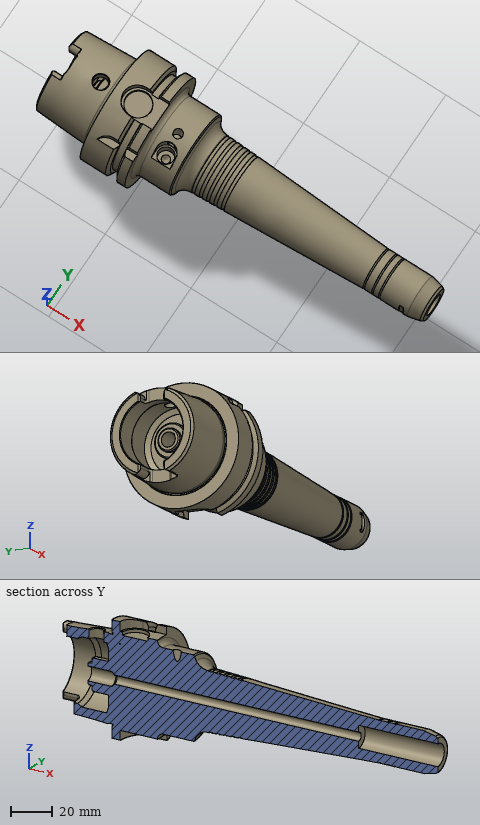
import cadquery as cq
import math


LENGTH = 217.0

TAPER_END_X = 29.5
TAPER_NOSE_R = 22.8
TAPER_RATIO = 0.05
TAPER_END_R = TAPER_NOSE_R + TAPER_RATIO * TAPER_END_X
SHANK_CHAMFER_X = 0.9
SHANK_CHAMFER_R = 1.3
UNDERCUT_X = 31.2
UNDERCUT_R = 23.9
RELIEF_R = 25.0
RELIEF_DEPTH = 0.5

FLANGE_X = 32.0
FLANGE_WIDTH = 26.0
FLANGE_END_X = FLANGE_X + FLANGE_WIDTH
FLANGE_R = 31.5
GROOVE_MID_X = 50.0
GROOVE_FLOOR_R = 27.3
GROOVE_FLOOR_WIDTH = 4.0
GROOVE_BEVEL_X = 1.3
GROOVE_BEVEL_R = 2.2

COLLAR_R = 23.0
COLLAR_FILLET = 3.0
COLLAR_END_X = 79.0
COLLAR_EDGE = 0.7
NECK_ARC_X = 79.9
NECK_ARC_R = 20.2
NECK_X = 86.5
NECK_R = 16.5

CONE_X = 105.0
CONE_R = 15.6
NOSE_X = 183.4
NOSE_R = 11.5
TIP_X = 209.2
TIP_EDGE_X = 215.7
TIP_EDGE_R = 10.0
TIP_FACE_R = 9.1

RIB_COUNT = 5
RIB_FIRST_X = 87.0
RIB_PITCH = 4.1
RIB_GROOVE_WIDTH = 1.7
RIB_GROOVE_DEPTH = 0.25
MARK_STARTS = (183.4, 188.4, 192.3)
MARK_WIDTH = 0.9
MARK_DEPTH = 0.2

BORE_R = 34.0 / 2
BORE_MOUTH_CHAMFER = 0.5
BORE_SHOULDER_X = 12.5
CAVITY_R = 18.5
CAVITY_TAPER_ANGLE = 30.0
CAVITY_TAPER_X = (CAVITY_R - BORE_R) / math.tan(math.radians(CAVITY_TAPER_ANGLE))
CAVITY_FLOOR_X = 30.0
CAVITY_FLOOR_R = 15.5
CAVITY_FLOOR_SLOPE_X = 1.0
NUT_R = 18.0 / 2
NUT_FACE_X = 20.6
NUT_CHAMFER = 0.7
TUBE_R = 12.0 / 2
TUBE_FACE_X = 18.2
TUBE_CHAMFER = 0.7
TUBE_BORE_R = 7.5 / 2
COOLANT_R = 4.5 / 2
TOOL_BORE_R = 12.0 / 2
TOOL_BORE_DEPTH = 45.0

KEY_HALF_WIDTH = 6.3
KEY_FLARE_R = 3.0
KEY_FLARE_Z = 17.5
KEY_CORNER_R = 1.7
KEY_MOUTH_CHAMFER = 0.9
KEY_FLARE_STEP = 0.5
KEY_DEPTH_TOP = 6.3
KEY_DEPTH_BOTTOM = 10.5

WALL_HOLE_X = 23.2
WALL_HOLE_D = 8.0
WALL_HOLE_CHAMFER = 0.5

POCKET_START_X = 36.7
POCKET_FLOOR_Z = 26.3
POCKET_TOP_WIDTH = 16.3
POCKET_BOTTOM_WIDTH = 18.0
DISC_D = 14.0
DISC_DEPTH = 1.7
DISC_X = 45.1
NOTCH_Y = -20.5
NOTCH_Z = 20.0
NOTCH_START_X = 44.0
NOTCH_MILL_D = 16.0

SCREW_X = 69.0
SCREW_Y = -12.0
SCREW_POCKET_D = 10.8
SCREW_FLOOR_Z = 15.8
SCREW_HOLE_D = 9.0
SCREW_HOLE_DEPTH = 6.5
SCREW_TIP_D = 4.5
SIDE_HOLE_D = 4.5
SIDE_HOLE_Z = 18.7
SIDE_HOLE_END_Y = -5.5
VENT_Y = -1.0
VENT_D = 5.0
VENT_TILT = 15.0
VENT_DEPTH = 5.5

TIP_RECESS_X = 204.0
TIP_RECESS_WIDTH = 2.2
TIP_RECESS_SLOPE_X = 0.7
TIP_RECESS_FLOOR_Y = -10.5


def revolve_x(profile):
    """Turn a closed (x, radius) profile about the X axis."""
    return profile.close().revolve(360, (0, 0, 0), (1, 0, 0))


def cylinder(diameter, start, direction, length):
    """Solid cylinder from a start point along a direction."""
    return cq.Workplane(cq.Solid.makeCylinder(
        diameter / 2, length, cq.Vector(*start), cq.Vector(*direction)))


def turned_body():
    groove_left = GROOVE_MID_X - GROOVE_FLOOR_WIDTH / 2
    groove_right = GROOVE_MID_X + GROOVE_FLOOR_WIDTH / 2
    bevel_r = FLANGE_R - GROOVE_BEVEL_R
    fillet_mid = COLLAR_FILLET * (1 - math.sqrt(0.5))
    profile = (
        cq.Workplane("XY")
        .moveTo(0, 0)
        .lineTo(0, TAPER_NOSE_R - SHANK_CHAMFER_R)
        .lineTo(SHANK_CHAMFER_X, TAPER_NOSE_R + TAPER_RATIO * SHANK_CHAMFER_X)
        .lineTo(TAPER_END_X, TAPER_END_R)
        .lineTo(UNDERCUT_X, UNDERCUT_R)
        .lineTo(FLANGE_X + RELIEF_DEPTH, UNDERCUT_R)
        .lineTo(FLANGE_X + RELIEF_DEPTH, RELIEF_R - RELIEF_DEPTH)
        .lineTo(FLANGE_X, RELIEF_R)
        .lineTo(FLANGE_X, FLANGE_R)
        .lineTo(groove_left - GROOVE_BEVEL_X, FLANGE_R)
        .lineTo(groove_left, bevel_r)
        .lineTo(groove_left, GROOVE_FLOOR_R)
        .lineTo(groove_right, GROOVE_FLOOR_R)
        .lineTo(groove_right, bevel_r)
        .lineTo(groove_right + GROOVE_BEVEL_X, FLANGE_R)
        .lineTo(FLANGE_END_X, FLANGE_R)
        .lineTo(FLANGE_END_X, COLLAR_R + COLLAR_FILLET)
        .threePointArc(
            (FLANGE_END_X + fillet_mid, COLLAR_R + fillet_mid),
            (FLANGE_END_X + COLLAR_FILLET, COLLAR_R))
        .lineTo(COLLAR_END_X - COLLAR_EDGE, COLLAR_R)
        .lineTo(COLLAR_END_X, COLLAR_R - COLLAR_EDGE)
        .lineTo(NECK_ARC_X, NECK_ARC_R)
    )
    run = NECK_X - NECK_ARC_X
    drop = NECK_ARC_R - NECK_R
    arc_r = (run ** 2 + drop ** 2) / (2 * drop)
    half_angle = math.asin(run / arc_r) / 2
    arc_mid = (
        NECK_X - arc_r * math.sin(half_angle),
        NECK_R + arc_r * (1 - math.cos(half_angle)))
    profile = (
        profile
        .threePointArc(arc_mid, (NECK_X, NECK_R))
        .lineTo(CONE_X, CONE_R)
        .lineTo(NOSE_X, NOSE_R)
        .lineTo(TIP_X, NOSE_R)
        .lineTo(TIP_EDGE_X, TIP_EDGE_R)
        .lineTo(LENGTH, TIP_FACE_R)
        .lineTo(LENGTH, 0)
    )
    return revolve_x(profile)


def ring_groove(x, width, floor_r):
    """Ring cutter that leaves a floor of the given radius."""
    return (
        cq.Workplane("YZ", origin=(x, 0, 0))
        .circle(FLANGE_R).circle(floor_r).extrude(width)
    )


def cut_rings(body):
    for i in range(RIB_COUNT):
        x = RIB_FIRST_X + i * RIB_PITCH
        mid = x + RIB_GROOVE_WIDTH / 2
        surface_r = NECK_R + (CONE_R - NECK_R) * (mid - NECK_X) / (CONE_X - NECK_X)
        body = body.cut(ring_groove(x, RIB_GROOVE_WIDTH, surface_r - RIB_GROOVE_DEPTH))
    for x in MARK_STARTS:
        body = body.cut(ring_groove(x, MARK_WIDTH, NOSE_R - MARK_DEPTH))
    return body


def cavity():
    """Clamping bore around the coolant nut and tube."""
    return revolve_x(
        cq.Workplane("XY")
        .moveTo(0, 0)
        .lineTo(0, BORE_R + BORE_MOUTH_CHAMFER)
        .lineTo(BORE_MOUTH_CHAMFER, BORE_R)
        .lineTo(BORE_SHOULDER_X, BORE_R)
        .lineTo(BORE_SHOULDER_X + CAVITY_TAPER_X, CAVITY_R)
        .lineTo(CAVITY_FLOOR_X - CAVITY_FLOOR_SLOPE_X, CAVITY_R)
        .lineTo(CAVITY_FLOOR_X, CAVITY_FLOOR_R)
        .lineTo(CAVITY_FLOOR_X, NUT_R)
        .lineTo(NUT_FACE_X + NUT_CHAMFER, NUT_R)
        .lineTo(NUT_FACE_X, NUT_R - NUT_CHAMFER)
        .lineTo(NUT_FACE_X, TUBE_R)
        .lineTo(TUBE_FACE_X + TUBE_CHAMFER, TUBE_R)
        .lineTo(TUBE_FACE_X, TUBE_R - TUBE_CHAMFER)
        .lineTo(TUBE_FACE_X, 0)
    )


def centre_passage():
    """Tube bore, coolant channel and tool bore along the axis."""
    tool_x = LENGTH - TOOL_BORE_DEPTH
    return revolve_x(
        cq.Workplane("XY")
        .moveTo(0, 0)
        .lineTo(0, TUBE_BORE_R)
        .lineTo(FLANGE_X, TUBE_BORE_R)
        .lineTo(FLANGE_X + TUBE_BORE_R - COOLANT_R, COOLANT_R)
        .lineTo(tool_x, COOLANT_R)
        .lineTo(tool_x, TOOL_BORE_R)
        .lineTo(LENGTH, TOOL_BORE_R)
        .lineTo(LENGTH, 0)
    )


def drive_slot(depth):
    """Slot on the +Z side whose walls roll outward at the taper surface."""
    flare_y = KEY_HALF_WIDTH + KEY_FLARE_R
    flare_z = KEY_FLARE_Z + KEY_FLARE_R
    mid_y = flare_y - KEY_FLARE_R * math.sqrt(0.5)
    mid_z = KEY_FLARE_Z + KEY_FLARE_R * math.sqrt(0.5)
    mouth_y = KEY_HALF_WIDTH + KEY_MOUTH_CHAMFER
    straight = (
        cq.Workplane("XY")
        .moveTo(0, -mouth_y)
        .lineTo(KEY_MOUTH_CHAMFER, -KEY_HALF_WIDTH)
        .lineTo(depth, -KEY_HALF_WIDTH)
        .lineTo(depth, KEY_HALF_WIDTH)
        .lineTo(KEY_MOUTH_CHAMFER, KEY_HALF_WIDTH)
        .lineTo(0, mouth_y)
        .close()
        .extrude(FLANGE_R)
        .edges(">X and |Z").fillet(KEY_CORNER_R)
    )
    flare = (
        cq.Workplane("YZ")
        .moveTo(-KEY_HALF_WIDTH, KEY_FLARE_Z)
        .threePointArc((-mid_y, mid_z), (-flare_y, flare_z))
        .lineTo(-flare_y, FLANGE_R)
        .lineTo(flare_y, FLANGE_R)
        .lineTo(flare_y, flare_z)
        .threePointArc((mid_y, mid_z), (KEY_HALF_WIDTH, KEY_FLARE_Z))
        .close()
        .extrude(depth - KEY_FLARE_STEP)
    )
    return straight.union(flare)


def opposite(shape):
    """Turn a shape half a turn about the X axis."""
    return shape.rotate((0, 0, 0), (1, 0, 0), 180)


def wall_hole():
    length = FLANGE_R - BORE_R
    hole = cylinder(WALL_HOLE_D, (WALL_HOLE_X, 0, BORE_R), (0, 0, 1), length)
    surface_r = TAPER_NOSE_R + TAPER_RATIO * WALL_HOLE_X
    rim = (
        cq.Workplane("XY", origin=(WALL_HOLE_X, 0, surface_r - 2 * WALL_HOLE_CHAMFER))
        .circle(WALL_HOLE_D / 2)
        .workplane(offset=2 * WALL_HOLE_CHAMFER)
        .circle(WALL_HOLE_D / 2 + WALL_HOLE_CHAMFER)
        .loft()
    )
    return hole.union(rim)


def flange_pocket(width):
    """Round-ended pocket on the +Z side, open toward the tip."""
    centre_x = POCKET_START_X + width / 2
    height = FLANGE_R - POCKET_FLOOR_Z
    run = FLANGE_END_X - centre_x
    end = cylinder(width, (centre_x, 0, POCKET_FLOOR_Z), (0, 0, 1), height)
    channel = cq.Workplane("XY", origin=(centre_x, 0, POCKET_FLOOR_Z)).box(
        run, width, height, centered=(False, True, False))
    return end.union(channel)


def flange_notch():
    """Corner notch with a level floor, run out by an upright end mill."""
    corner = (NOTCH_START_X, NOTCH_Y - NOTCH_MILL_D, NOTCH_Z)
    straight = cq.Workplane("XY", origin=corner).box(
        FLANGE_END_X - NOTCH_START_X, NOTCH_MILL_D, FLANGE_R, centered=False)
    mill_centre = (NOTCH_START_X, NOTCH_Y - NOTCH_MILL_D / 2, NOTCH_Z)
    return straight.union(cylinder(NOTCH_MILL_D, mill_centre, (0, 0, 1), FLANGE_R))


def screw_pocket():
    """Pocket open toward -Y, with a conical-bottomed screw hole and a cross hole in its back wall."""
    up = (0, 0, 1)
    seat = (SCREW_X, SCREW_Y, SCREW_FLOOR_Z)
    cut = cylinder(SCREW_POCKET_D, seat, up, COLLAR_R)
    opening = cq.Workplane("XY", origin=(SCREW_X, SCREW_Y - COLLAR_R / 2, SCREW_FLOOR_Z)).box(
        SCREW_POCKET_D, COLLAR_R, COLLAR_R, centered=(True, True, False))
    hole_end = (SCREW_X, SCREW_Y, SCREW_FLOOR_Z - SCREW_HOLE_DEPTH)
    hole = cylinder(SCREW_HOLE_D, hole_end, up, SCREW_HOLE_DEPTH)
    tip_r = SCREW_TIP_D / 2
    tip = cq.Workplane(cq.Solid.makeCone(
        tip_r, 0, tip_r, cq.Vector(*hole_end), cq.Vector(0, 0, -1)))
    cross_start = (SCREW_X, SCREW_Y, SIDE_HOLE_Z)
    cross = cylinder(SIDE_HOLE_D, cross_start, (0, 1, 0), SIDE_HOLE_END_Y - SCREW_Y)
    return cut.union(opening).union(hole).union(tip).union(cross)


def vent_hole():
    """Hole leaning from the top of the collar toward the screw pocket."""
    tilt = math.radians(VENT_TILT)
    lean_y = math.sin(tilt)
    lean_z = math.cos(tilt)
    start = (SCREW_X, VENT_Y + VENT_DEPTH * lean_y, COLLAR_R + VENT_DEPTH * lean_z)
    return cylinder(VENT_D, start, (0, -lean_y, -lean_z), 2 * VENT_DEPTH)


def tip_recess():
    """Flat-floored cut on the -Y side with a sloping wall toward the tip."""
    floor_end = TIP_RECESS_X + TIP_RECESS_WIDTH
    return (
        cq.Workplane("XY", origin=(0, 0, -NOSE_R))
        .moveTo(TIP_RECESS_X, TIP_RECESS_FLOOR_Y)
        .lineTo(floor_end, TIP_RECESS_FLOOR_Y)
        .lineTo(floor_end + TIP_RECESS_SLOPE_X, -NOSE_R)
        .lineTo(TIP_RECESS_X, -NOSE_R)
        .close()
        .extrude(2 * NOSE_R)
    )


body = cut_rings(turned_body())
body = body.cut(cavity())
body = body.cut(centre_passage())
body = body.cut(drive_slot(KEY_DEPTH_TOP))
body = body.cut(opposite(drive_slot(KEY_DEPTH_BOTTOM)))
body = body.cut(wall_hole())
body = body.cut(flange_pocket(POCKET_TOP_WIDTH))
body = body.cut(opposite(flange_pocket(POCKET_BOTTOM_WIDTH)))
body = body.cut(cylinder(DISC_D, (DISC_X, 0, POCKET_FLOOR_Z), (0, 0, -1), DISC_DEPTH))
body = body.cut(flange_notch())
body = body.cut(screw_pocket())
body = body.cut(vent_hole())
result = body.cut(tip_recess())